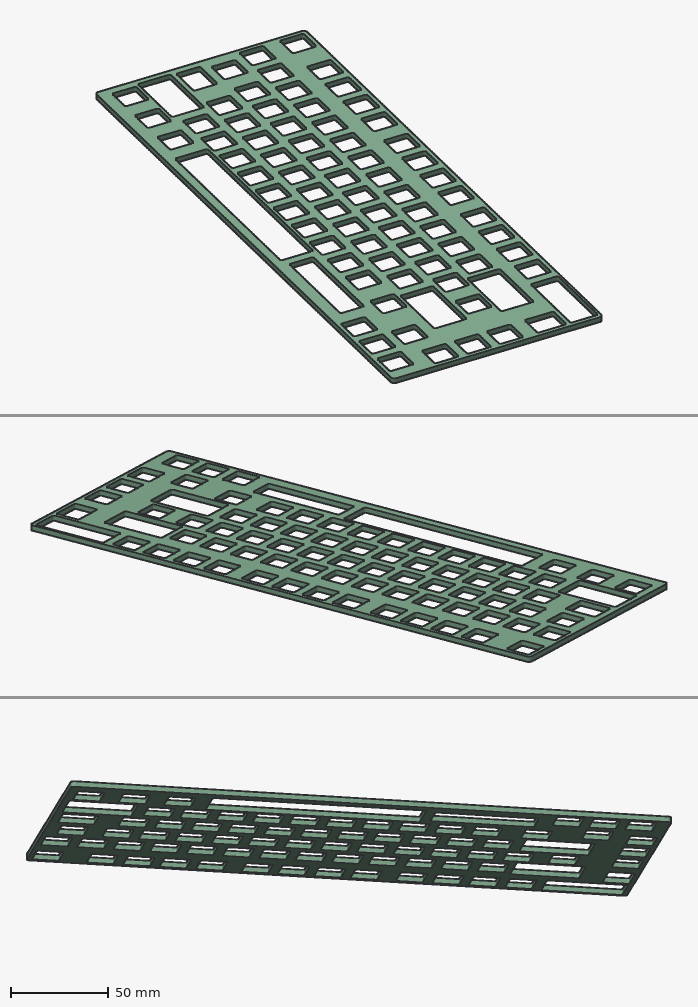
import cadquery as cq

plate_length = 314.3
quarters_along_length = 66
quarters_along_depth = 26
quarters_per_key = 4
quarter = plate_length / quarters_along_length
plate_depth = quarters_along_depth * quarter
plate_thickness = 3.0
plate_corner_radius = 2.0
cutout_corner_radius = 1.0

neighbour_wall = 5.0
switch_size = quarters_per_key * quarter - neighbour_wall

two_unit_length = 36.0
space_bar_length = 112.0
stabiliser_depth = 19.2
stabiliser_shift = 0.47
caps_lock_length = switch_size + quarter
caps_lock_shift = 0.5
right_modifier_length = 54.0
display_length = 42.5
display_depth = 16.0
tall_switch_depth = 17.0

function_row = 2
tall_switch_row = 6
number_row = 7
tab_row = 11
caps_row = 15
shift_row = 19
up_arrow_row = 20
space_row = 23
arrow_row = 24

end_column = 62

switch_runs = {
    function_row: [(0, 4, 1), (6, 4, 4), (23, 4, 4), (40, 4, 4)],
    number_row: [(0, 4, 13)],
    tab_row: [(0, 6, 1), (6, 4, 12), (54, 6, 1), (end_column, 4, 1)],
    caps_row: [(7, 4, 11), (end_column, 4, 1)],
    shift_row: [(9, 4, 10), (49, 7, 1), (end_column, 4, 1)],
    up_arrow_row: [(57, 4, 1)],
    space_row: [(0, 5, 3)],
    arrow_row: [(53, 4, 3)],
}

backspace_place = (56, number_row)
enter_place = (55.5, caps_row)
left_shift_place = (4.5, shift_row)
space_bar_place = (27.5, space_row)
caps_lock_place = (3, caps_row)
right_modifier_place = (46, space_row)
display_place = (61, function_row)
tall_switch_place = (end_column + quarters_per_key / 2, tall_switch_row)


def grid_point(column, row):
    """(x, y) of a place counted in quarters from the left side and the back edge."""
    return (column * quarter - plate_length / 2, plate_depth / 2 - row * quarter)


def rounded_prisms(centres, length, depth, corner_radius):
    """Plate-thick blocks with rounded upright corners, one at each (x, y) centre."""
    return (
        cq.Workplane("XY")
        .pushPoints(centres)
        .rect(length, depth)
        .extrude(plate_thickness)
        .edges("|Z")
        .fillet(corner_radius)
    )


def cut_openings(body, places, length, depth, shift_x=0, shift_y=0):
    """Cut equal through openings at grid places, all moved by the same small shift."""
    centres = []
    for place in places:
        x, y = grid_point(*place)
        centres.append((x + shift_x, y + shift_y))
    return body.cut(rounded_prisms(centres, length, depth, cutout_corner_radius))


def switch_places():
    """Grid places of all the plain square switch cutouts."""
    places = []
    for row, runs in switch_runs.items():
        for start, key_width, count in runs:
            for key in range(count):
                places.append((start + (key + 0.5) * key_width, row))
    return places


plate = rounded_prisms([(0, 0)], plate_length, plate_depth, plate_corner_radius)
plate = cut_openings(plate, switch_places(), switch_size, switch_size)

two_unit_places = [backspace_place, enter_place, left_shift_place]
plate = cut_openings(
    plate, two_unit_places, two_unit_length, stabiliser_depth, shift_y=-stabiliser_shift
)
plate = cut_openings(
    plate, [space_bar_place], space_bar_length, stabiliser_depth, shift_y=stabiliser_shift
)

plate = cut_openings(
    plate, [caps_lock_place], caps_lock_length, switch_size, shift_x=-caps_lock_shift
)
plate = cut_openings(plate, [right_modifier_place], right_modifier_length, switch_size)
plate = cut_openings(plate, [display_place], display_length, display_depth)
plate = cut_openings(plate, [tall_switch_place], switch_size, tall_switch_depth)

result = plate